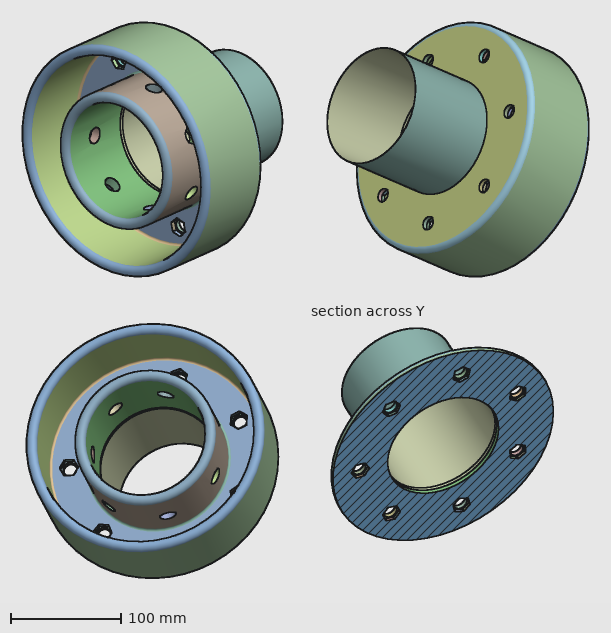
import cadquery as cq
import math

RING_OD = 220.0
RING_ID = 200.0
WALL = (RING_OD - RING_ID) / 2
BORE_D = 110.0
HUB_OD = BORE_D + 2 * WALL
WEB_THICKNESS = 10.0
REAR_ROUND = 5.0
WEB_FILLET = 2.0

TOTAL_LENGTH = 175.0
TUBE_LENGTH = 95.0
TUBE_WALL = 0.1
TUBE_OVERLAP = 3.5
RING_DEPTH = TOTAL_LENGTH - TUBE_LENGTH
TUBE_ID = BORE_D - 2 * TUBE_WALL

HOLE_COUNT = 7
BOLT_CIRCLE_D = 165.0
BOLT_HOLE_D = 12.5
NUT_ACROSS_FLATS = 15.0
NUT_DEPTH = 5.0
PORT_D = 15.0
PORT_SETBACK = 30.0

FRONT_Y = -TOTAL_LENGTH / 2
RING_BACK_Y = FRONT_Y + RING_DEPTH
WEB_FRONT_Y = RING_BACK_Y - WEB_THICKNESS
TUBE_BACK_Y = TOTAL_LENGTH / 2
PORT_Y = WEB_FRONT_Y - PORT_SETBACK
TUBE_FRONT_Y = RING_BACK_Y - TUBE_OVERLAP

FIRST_ANGLE = 180
HOLE_ANGLES = [FIRST_ANGLE + i * 360 / HOLE_COUNT for i in range(HOLE_COUNT)]


def make_body():
    """Revolve the half section about Y; both front lips are half circles."""
    ring_r = RING_OD / 2
    ring_inner_r = RING_ID / 2
    hub_r = HUB_OD / 2
    bore_r = BORE_D / 2
    tube_inner_r = TUBE_ID / 2
    lip_r = WALL / 2
    lip_y = FRONT_Y + lip_r
    fillet_y = WEB_FRONT_Y - WEB_FILLET
    arc_inset = 1 - math.sqrt(0.5)
    rear_mid = REAR_ROUND * arc_inset
    web_mid = WEB_FILLET * arc_inset
    section = (
        cq.Workplane("XY")
        .moveTo(bore_r, lip_y)
        .threePointArc((bore_r + lip_r, FRONT_Y), (hub_r, lip_y))
        .lineTo(hub_r, fillet_y)
        .threePointArc((hub_r + web_mid, WEB_FRONT_Y - web_mid), (hub_r + WEB_FILLET, WEB_FRONT_Y))
        .lineTo(ring_inner_r - WEB_FILLET, WEB_FRONT_Y)
        .threePointArc((ring_inner_r - web_mid, WEB_FRONT_Y - web_mid), (ring_inner_r, fillet_y))
        .lineTo(ring_inner_r, lip_y)
        .threePointArc((ring_r - lip_r, FRONT_Y), (ring_r, lip_y))
        .lineTo(ring_r, RING_BACK_Y - REAR_ROUND)
        .threePointArc((ring_r - rear_mid, RING_BACK_Y - rear_mid), (ring_r - REAR_ROUND, RING_BACK_Y))
        .lineTo(bore_r, RING_BACK_Y)
        .lineTo(bore_r, TUBE_BACK_Y)
        .lineTo(tube_inner_r, TUBE_BACK_Y)
        .lineTo(tube_inner_r, TUBE_FRONT_Y)
        .lineTo(bore_r, TUBE_FRONT_Y)
        .close()
    )
    return section.revolve(360, (0, 0, 0), (0, 1, 0))


def bolt_cutter():
    """Through hole with a hexagonal nut pocket in the web's front face, at +X."""
    corner_d = NUT_ACROSS_FLATS / math.cos(math.pi / 6)
    plane = cq.Workplane("XZ", origin=(BOLT_CIRCLE_D / 2, WEB_FRONT_Y, 0))
    hole = plane.circle(BOLT_HOLE_D / 2).extrude(-WEB_THICKNESS)
    pocket = plane.polygon(6, corner_d).extrude(-NUT_DEPTH)
    return hole.union(pocket)


def port_cutter():
    """Radial hole through the hub wall, at +X."""
    start_x = BORE_D / 4
    end_x = BOLT_CIRCLE_D / 2
    plane = cq.Workplane("YZ", origin=(start_x, PORT_Y, 0))
    return plane.circle(PORT_D / 2).extrude(end_x - start_x)


result = make_body()
for angle in HOLE_ANGLES:
    for tool in (bolt_cutter(), port_cutter()):
        result = result.cut(tool.rotate((0, 0, 0), (0, 1, 0), angle))